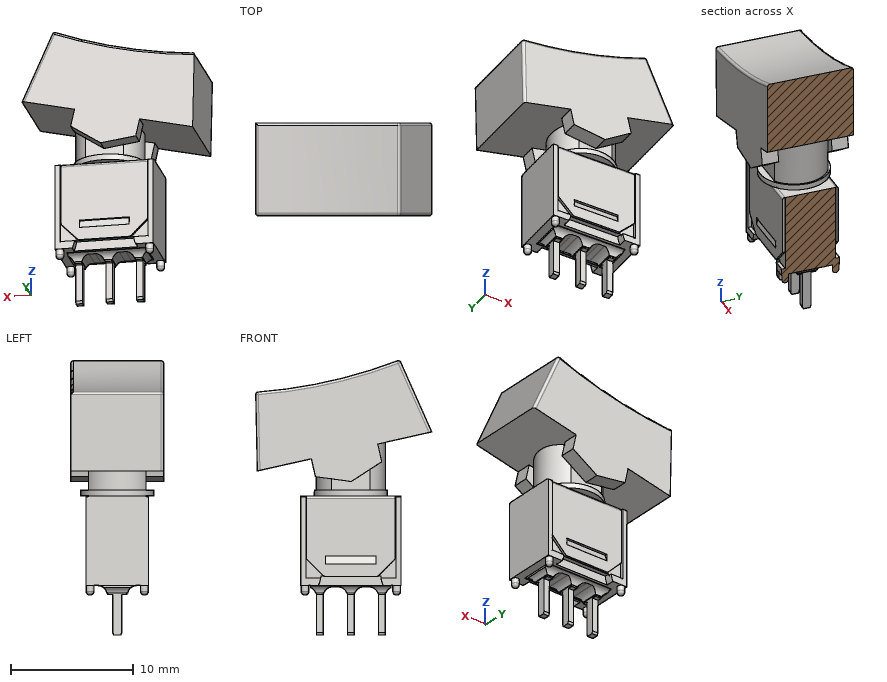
import cadquery as cq
import math


body_length = 8.24
body_width = 5.13
body_height = 7.34
side_wall = 0.43
bottom_bar = 0.63
pocket_depth = 0.32
wall_top_bevel_depth = 0.23
wall_top_bevel_drop = 0.07

panel_length = 7.25
panel_setback = 0.1
panel_bottom = 0.72
panel_corner = 1.45
panel_top_radius = 0.214
slot_length = 4.16
slot_height = 0.63
slot_bottom = 1.78
slot_depth = 0.23

gap_top_half = 2.45
gap_bottom_half = 2.65
gap_middle_half = 2.52
gap_depth = 0.77
gap_height = 0.77

flange_diameter = 6.0
flange_thickness = 0.47
bushing_diameter = 5.7
bushing_across_flats = 4.73
bushing_top = 11.93

pin_pitch = 2.55
pin_places = [-pin_pitch, 0, pin_pitch]
pin_thickness = 0.56
pin_width = 0.77
pin_length = 4.07
pin_tip_height = 0.23
pin_tip_inset = 0.1
collar_width = 1.6
collar_length = 0.75
seal_length = 6.62
seal_depth = 0.6
cove_reach = 0.65
seal_lip = 0.07
seal_web_front = 0.14
seal_web_side = 0.05

foot_diameter = 0.65
foot_straight = 0.47
foot_x = 3.75
foot_y = 2.23

cap_width = 7.63
cap_tilt = 12.6
cap_origin_x = -0.52
cap_origin_z = 10.98
cap_bottom_half = 7.34
cap_top_half = 6.05
cap_height = 6.35
cap_dish = 0.45
cap_edge_radius = 0.23
tab_half = 2.8
tab_corner_depth = 1.49
tab_tip_depth = 2.52


def box_between(x_half, y_half, z_low, z_high):
    """Box centred on the Z axis between two heights."""
    return (
        cq.Workplane("XY")
        .workplane(offset=z_low)
        .rect(2 * x_half, 2 * y_half)
        .extrude(z_high - z_low)
    )


def front_cutter():
    """Everything removed from the front face of the body, panel left standing."""
    front = -body_width / 2
    pocket_half = body_length / 2 - side_wall
    pocket = (
        cq.Workplane("XZ", origin=(0, front, 0))
        .moveTo(-pocket_half, bottom_bar)
        .lineTo(pocket_half, bottom_bar)
        .lineTo(pocket_half, body_height)
        .lineTo(-pocket_half, body_height)
        .close()
        .extrude(-pocket_depth)
    )
    gap = (
        cq.Workplane("XZ", origin=(0, front, 0))
        .moveTo(-gap_bottom_half, 0)
        .lineTo(gap_bottom_half, 0)
        .threePointArc((gap_middle_half, gap_height / 2), (gap_top_half, gap_height))
        .lineTo(-gap_top_half, gap_height)
        .threePointArc((-gap_middle_half, gap_height / 2), (-gap_bottom_half, 0))
        .close()
        .extrude(-gap_depth)
    )
    panel_half = panel_length / 2
    panel = (
        cq.Workplane("XZ", origin=(0, front + panel_setback, 0))
        .moveTo(-panel_half + panel_corner, panel_bottom)
        .lineTo(panel_half - panel_corner, panel_bottom)
        .lineTo(panel_half, panel_bottom + panel_corner)
        .lineTo(panel_half, body_height)
        .lineTo(-panel_half, body_height)
        .lineTo(-panel_half, panel_bottom + panel_corner)
        .close()
        .extrude(panel_setback - pocket_depth)
        .faces("<Y")
        .edges(">Z")
        .fillet(panel_top_radius)
    )
    face = front + panel_setback
    slot = (
        cq.Workplane("YZ")
        .moveTo(face, slot_bottom)
        .lineTo(face, slot_bottom + slot_height)
        .lineTo(face + slot_depth, slot_bottom + slot_height)
        .close()
        .extrude(slot_length / 2, both=True)
    )
    wall_bevel = (
        cq.Workplane("YZ")
        .moveTo(front, body_height - wall_top_bevel_drop)
        .lineTo(front, body_height)
        .lineTo(front + wall_top_bevel_depth, body_height)
        .close()
        .extrude(body_length, both=True)
    )
    return pocket.union(gap).union(wall_bevel).cut(panel).union(slot)


def make_body():
    body = box_between(body_length / 2, body_width / 2, 0, body_height)
    cutter = front_cutter()
    return body.cut(cutter).cut(cutter.mirror("XZ"))


def make_bushing():
    flange_top = body_height + flange_thickness
    flange = cq.Workplane("XY").workplane(offset=body_height).circle(flange_diameter / 2)
    flange = flange.extrude(flange_thickness)
    bushing = cq.Workplane("XY").workplane(offset=flange_top).circle(bushing_diameter / 2)
    bushing = bushing.extrude(bushing_top - flange_top)
    flats = box_between(bushing_diameter, bushing_across_flats / 2, flange_top, bushing_top)
    return flange.union(bushing.intersect(flats))


def cove_profile(plane, centres, half_width, web):
    """Outline of the seal, flaring up in a hollow arc on both sides of every centre.

    Each arc runs from the seal's lowest level to become tangent to the web between the centres.
    """
    drop = seal_depth - web
    radius = (cove_reach**2 + drop**2) / (2 * drop)
    sweep = math.asin(cove_reach / radius) / 2
    arc_x = cove_reach - radius * math.sin(sweep)
    arc_z = -web - radius * (1 - math.cos(sweep))
    outer = half_width + cove_reach
    profile = cq.Workplane(plane).moveTo(centres[0] - outer, 0)
    for centre in centres:
        profile = (
            profile.lineTo(centre - outer, -web)
            .threePointArc((centre - half_width - arc_x, arc_z), (centre - half_width, -seal_depth))
            .lineTo(centre + half_width, -seal_depth)
            .threePointArc((centre + half_width + arc_x, arc_z), (centre + outer, -web))
        )
    return profile.lineTo(centres[-1] + outer, 0).close().extrude(body_length, both=True)


def make_seal():
    """Hollow-sided mounds of sealing compound around the roots of the pins."""
    along = cove_profile("XZ", pin_places, pin_thickness / 2 + seal_lip, seal_web_front)
    across = cove_profile("YZ", [0], collar_width / 2 + seal_lip, seal_web_side)
    ends = box_between(seal_length / 2, body_width / 2, -seal_depth, 0)
    return along.intersect(across).intersect(ends)


def make_terminals():
    """Three pins with bevelled tips, each below a wider collar."""
    tip = -pin_length
    collar = box_between(pin_thickness / 2, collar_width / 2, -collar_length, 0)
    pin = (
        cq.Workplane("YZ")
        .moveTo(-pin_width / 2, 0)
        .lineTo(-pin_width / 2, tip + pin_tip_height)
        .lineTo(-pin_width / 2 + pin_tip_inset, tip)
        .lineTo(pin_width / 2 - pin_tip_inset, tip)
        .lineTo(pin_width / 2, tip + pin_tip_height)
        .lineTo(pin_width / 2, 0)
        .close()
        .extrude(pin_thickness / 2, both=True)
    )
    terminal = collar.union(pin)
    terminals = cq.Workplane("XY")
    for x in pin_places:
        terminals = terminals.union(terminal.translate((x, 0, 0)))
    return terminals


def make_feet():
    foot = cq.Workplane("XY").circle(foot_diameter / 2).extrude(-foot_straight)
    foot = foot.union(cq.Workplane("XY", origin=(0, 0, -foot_straight)).sphere(foot_diameter / 2))
    feet = cq.Workplane("XY")
    for x in (-foot_x, foot_x):
        for y in (-foot_y, foot_y):
            feet = feet.union(foot.translate((x, y, 0)))
    below_body = box_between(body_length, body_width, -body_height, 0)
    return feet.intersect(below_body)


def make_cap():
    block = (
        cq.Workplane("XZ")
        .moveTo(-cap_bottom_half, 0)
        .lineTo(cap_bottom_half, 0)
        .lineTo(cap_top_half, cap_height)
        .threePointArc((0, cap_height - cap_dish), (-cap_top_half, cap_height))
        .close()
        .extrude(cap_width / 2, both=True)
    )
    rear_left_edge = cq.NearestToPointSelector((-cap_bottom_half, cap_width / 2, cap_height / 2))
    rounded_edges = cq.StringSyntaxSelector("not <Z") - rear_left_edge
    block = block.edges(rounded_edges).fillet(cap_edge_radius)
    tab_width = (cap_width - bushing_across_flats) / 2
    tab = (
        cq.Workplane("XZ", origin=(0, -cap_width / 2, 0))
        .moveTo(-tab_half, 0)
        .lineTo(-tab_half, -tab_corner_depth)
        .lineTo(0, -tab_tip_depth)
        .lineTo(tab_half, -tab_corner_depth)
        .lineTo(tab_half, 0)
        .close()
        .extrude(-tab_width)
    )
    cap = block.union(tab).union(tab.mirror("XZ"))
    return cap.rotate((0, 0, 0), (0, 1, 0), -cap_tilt).translate((cap_origin_x, 0, cap_origin_z))


result = (
    make_body()
    .union(make_bushing())
    .union(make_seal())
    .union(make_terminals())
    .union(make_feet())
    .union(make_cap())
)